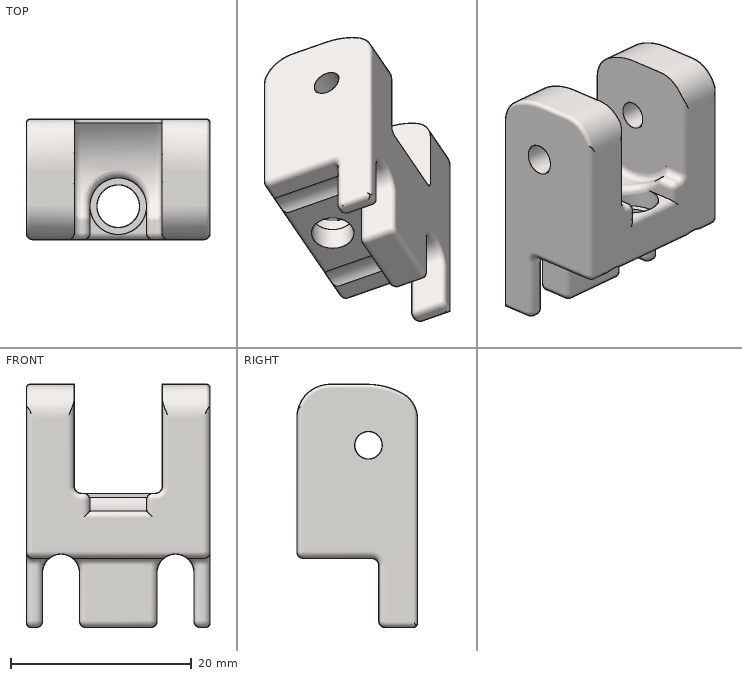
import cadquery as cq
import math

width = 20.4
depth = 13.4
height = 27.02
side_x = width / 2
front_y = -depth / 2
back_y = depth / 2

front_edge_radius = 0.75
side_edge_radius = 0.45
bottom_edge_radius = 0.6

block_bottom_z = 7.67
leg_depth = 4.32
leg_front_y = back_y - leg_depth
gap_width = 4.08
gap_center_x = 6.35
gap_radius = gap_width / 2
gap_top_z = 8.15

front_round_radius = 3.73
crown_start_y = 1.08
crown_radius = 8.1
back_round_radius = 3.25

slot_width = 9.73
slot_floor_z = 14.92
pin_y = 1.25
pin_z = 20.25
left_pin_hole_diameter = 3.38
right_pin_hole_diameter = 3.03
scoop_radius = 7.65
back_rim_thickness = 0.45

screw_y = -2.97
screw_hole_diameter = 4.7
counterbore_diameter = 6.27
counterbore_radius = counterbore_diameter / 2
counterbore_floor_z = 10.65
mouth_floor_z = 12.95

tolerance = 0.03
rim_clearance = 0.27


def edges_within(part, x_limit, y_range, z_range):
    """Edges lying completely inside a box that is symmetric about X = 0."""
    corner_low = (-x_limit - tolerance, y_range[0] - tolerance, z_range[0] - tolerance)
    corner_high = (x_limit + tolerance, y_range[1] + tolerance, z_range[1] + tolerance)
    return part.edges(cq.selectors.BoxSelector(corner_low, corner_high, boundingbox=True))


def round_edges(part, radius, *groups):
    """Round several groups of edges in one step so that they blend where they meet."""
    edges = [edge for group in groups for edge in group.vals()]
    return part.newObject(edges).fillet(radius)


def stepped_block():
    """Block with the leg slab below its back; front, bottom and step edges are rounded together."""
    block = (
        cq.Workplane("YZ")
        .moveTo(front_y, block_bottom_z)
        .lineTo(leg_front_y, block_bottom_z)
        .lineTo(leg_front_y, 0)
        .lineTo(back_y, 0)
        .lineTo(back_y, height)
        .lineTo(front_y, height)
        .close()
        .extrude(side_x, both=True)
    )
    below_step = edges_within(block, side_x, (front_y, leg_front_y), (0, block_bottom_z))
    front_corners = block.faces("<Y").edges("|Z")
    return round_edges(block, front_edge_radius, below_step, front_corners)


def leg_gap(center_x):
    """Arched gap between two legs, running through the whole depth."""
    arch_z = gap_top_z - gap_radius
    return (
        cq.Workplane("XZ")
        .moveTo(center_x - gap_radius, 0)
        .lineTo(center_x - gap_radius, arch_z)
        .threePointArc((center_x, gap_top_z), (center_x + gap_radius, arch_z))
        .lineTo(center_x + gap_radius, 0)
        .close()
        .extrude(depth, both=True)
    )


def slot():
    """Slot between the lugs, open at the front, back and top."""
    channel = (
        cq.Workplane("XY")
        .box(slot_width, depth, height - slot_floor_z, centered=(True, True, False))
        .translate((0, 0, slot_floor_z))
    )
    return channel.edges("|Y and <Z").fillet(front_edge_radius)


def scoop():
    """Clearance cylinder about the pin axis, stopped short of the back face, with rounded rims."""
    return (
        cq.Workplane("YZ")
        .center(pin_y, pin_z)
        .circle(scoop_radius)
        .extrude(slot_width / 2, both=True)
        .edges()
        .fillet(front_edge_radius)
        .intersect(
            cq.Workplane("XY")
            .box(slot_width, depth - back_rim_thickness, height, centered=(True, False, False))
            .translate((0, front_y, 0))
        )
    )


def cut_lug_space(part):
    """Cut the slot, the scoop and the counterbore with its open mouth, then round their edges."""
    counterbore = (
        cq.Workplane("XY")
        .workplane(offset=counterbore_floor_z)
        .center(0, screw_y)
        .circle(counterbore_radius)
        .extrude(pin_z - counterbore_floor_z)
    )
    mouth = (
        cq.Workplane("XY")
        .box(2 * counterbore_radius, screw_y - front_y, pin_z - mouth_floor_z, centered=(True, False, False))
        .translate((0, front_y, mouth_floor_z))
    )
    part = part.cut(slot()).cut(scoop()).cut(counterbore.union(mouth))

    scoop_end_y = pin_y - math.sqrt(scoop_radius**2 - (pin_z - slot_floor_z) ** 2)
    scoop_end_depth = (scoop_end_y, scoop_end_y + front_edge_radius)
    scoop_end_height = (slot_floor_z, slot_floor_z + front_edge_radius)
    scoop_bottom_z = pin_z - scoop_radius
    slot_half = slot_width / 2
    mouth_depth = (front_y, screw_y)
    bore_back = (screw_y, screw_y + counterbore_radius)

    front_outline = edges_within(part, slot_half, (front_y, front_y), (mouth_floor_z, height))
    mouth_rim = edges_within(
        part, counterbore_radius, mouth_depth, (mouth_floor_z + rim_clearance, slot_floor_z)
    )
    bore_rim = edges_within(part, counterbore_radius, bore_back, (scoop_bottom_z, slot_floor_z)).edges("not |Z")
    scoop_end = edges_within(part, slot_half, scoop_end_depth, scoop_end_height)
    return round_edges(part, front_edge_radius, front_outline, mouth_rim, bore_rim, scoop_end)


def cut_leg_gaps(part):
    """Separate the legs, then round their inner front edges and their bottom edges."""
    for side in (-1, 1):
        part = part.cut(leg_gap(side * gap_center_x))
    arch_z = gap_top_z - gap_radius
    inner_x = gap_center_x + gap_radius
    leg_corners = edges_within(part, inner_x, (leg_front_y, leg_front_y), (0, arch_z)).edges("|Z")
    legs = round_edges(part, front_edge_radius, leg_corners).faces("<Z").edges().fillet(bottom_edge_radius)

    step_blend_y = leg_front_y - front_edge_radius
    ahead_of_step = (
        cq.Workplane("XY")
        .box(width, step_blend_y - front_y, height, centered=(True, False, False))
        .translate((0, front_y, 0))
    )
    return legs.union(part.intersect(ahead_of_step))


def lug_envelope():
    """Side outline with the rounded lug tops, extruded over the width with rounded side edges."""
    small_y = back_y - back_round_radius
    crown_z = height - crown_radius
    small_z = crown_z + math.sqrt((crown_radius - back_round_radius) ** 2 - (small_y - crown_start_y) ** 2)
    blend = math.atan2(small_z - crown_z, small_y - crown_start_y)
    crown_mid = (blend + math.pi / 2) / 2
    back_mid = blend / 2

    def crown_point(angle):
        return (crown_start_y + crown_radius * math.cos(angle), crown_z + crown_radius * math.sin(angle))

    def back_point(angle):
        return (small_y + back_round_radius * math.cos(angle), small_z + back_round_radius * math.sin(angle))

    front_round_y = front_y + front_round_radius
    front_round_z = height - front_round_radius
    diagonal = front_round_radius * math.sqrt(0.5)
    return (
        cq.Workplane("YZ")
        .moveTo(front_y, 0)
        .lineTo(back_y, 0)
        .lineTo(back_y, small_z)
        .threePointArc(back_point(back_mid), back_point(blend))
        .threePointArc(crown_point(crown_mid), (crown_start_y, height))
        .lineTo(front_round_y, height)
        .threePointArc((front_round_y - diagonal, front_round_z + diagonal), (front_y, front_round_z))
        .close()
        .extrude(side_x, both=True)
        .faces("<X or >X")
        .edges()
        .fillet(side_edge_radius)
    )


def pin_hole(diameter, side):
    """Pin hole through the lug on one side (-1 left, +1 right)."""
    return cq.Workplane("YZ").center(pin_y, pin_z).circle(diameter / 2).extrude(side * side_x)


screw_hole = cq.Workplane("XY").center(0, screw_y).circle(screw_hole_diameter / 2).extrude(pin_z)

result = cut_lug_space(stepped_block())
result = cut_leg_gaps(result)
result = result.intersect(lug_envelope())
result = result.cut(screw_hole)
result = result.cut(pin_hole(left_pin_hole_diameter, -1))
result = result.cut(pin_hole(right_pin_hole_diameter, 1))